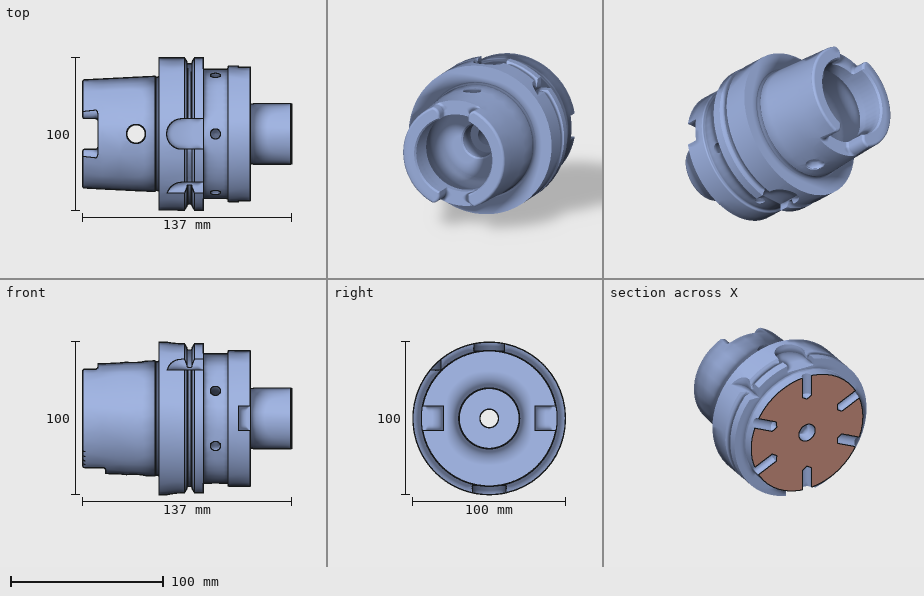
import cadquery as cq
import math


SHANK_END = -50.0
FLANGE_END = 29.0
COLLAR_START = 45.2
SEAT_X = 60.0
PILOT_END = 87.0

TAPER_LARGE_R = 75.65 / 2
TAPER_SLOPE = 0.05
FLANGE_R = 100.0 / 2
BODY_R = 85.0 / 2
COLLAR_R = 89.0 / 2
PILOT_R = 40.0 / 2
PILOT_NECK_R = 39.4 / 2
PILOT_NECK_LENGTH = 2.4
PILOT_NECK_RAMP = 1.1
SEAT_CHAMFER = 0.3
BODY_FILLET = 0.4
COLLAR_FILLET = 0.8
PILOT_CHAMFER_LENGTH = 0.8
PILOT_CHAMFER_DEPTH = 0.4

RELIEF_START = -2.7
RELIEF_R = 37.25
RELIEF_FILLET = 1.2
RELIEF_FACE_DEPTH = 0.2
RELIEF_FACE_R = 39.1
RELIEF_RAMP = 0.8

GROOVE_X = 20.0
GROOVE_HALF_WIDTH = 3.3
GROOVE_BOTTOM_R = 46.0
GROOVE_BOTTOM_HALF_WIDTH = 1.65
GROOVE_FLANK_ANGLE = 30.0
GROOVE_FILLET = 0.8

MOUTH_R = 53.0 / 2
MOUTH_CHAMFER_LENGTH = 1.5
MOUTH_CHAMFER_DEPTH = 0.9
MOUTH_END = -30.0
CHAMBER_R = 63.0 / 2
CLAMP_ANGLE = 60.0
CHAMBER_END = -2.8
CHAMBER_FILLET = 6.7
TUBE_BORE_R = 22.5 / 2
TUBE_CHAMFER = 1.0
TUBE_BORE_DEPTH = 15.0
COOLANT_R = 12.0 / 2

DRIVE_SLOT_WIDTH = 20.0
DRIVE_SHELF_Z = 32.3
DRIVE_SHELF_FILLET = 5.0
DRIVE_FLOOR_FILLET = 1.6
DRIVE_TOP_DEPTH = 10.0
DRIVE_BOTTOM_DEPTH = 15.0
SHANK_END_FILLET = 1.6

SLOT_START = 5.0
TOP_SLOT_WIDTH = 20.0
BOTTOM_SLOT_WIDTH = 22.0
SLOT_FLOOR_Z = 44.0
NOTCH_CORNER = 31.6
NOTCH_CUTTER_R = 10.0

ACCESS_X = -15.0
ACCESS_R = 12.0 / 2
ACCESS_MOUTH_STEP = 0.3
ACCESS_MOUTH_DEPTH = 0.6
BALANCE_X = 37.0
BALANCE_R = 6.65 / 2
BALANCE_DEPTH = 15.0
BALANCE_ANGLES = (25.2, 90.0, 154.8, 205.2, 270.0, 334.8)
DRILL_TIP_ANGLE = 118.0

DRIVER_WIDTH = 16.0
DRIVER_DEPTH = 8.0
DRIVER_FLOOR_Y = 30.0

CLEAR = 5.0


def taper_radius(x):
    return TAPER_LARGE_R + TAPER_SLOPE * (x - RELIEF_START)


def arc(wire, center, radius, start_deg, end_deg):
    """Add an arc about center, given the angles of its start and end."""
    def at(deg):
        a = math.radians(deg)
        return (center[0] + radius * math.cos(a), center[1] + radius * math.sin(a))
    return wire.threePointArc(at((start_deg + end_deg) / 2), at(end_deg))


def turned_body():
    relief_top = RELIEF_R + RELIEF_FILLET
    fillet_x = RELIEF_FACE_DEPTH - RELIEF_FILLET
    end_r = taper_radius(SHANK_END + SHANK_END_FILLET)
    pilot_start = SEAT_X + PILOT_NECK_LENGTH

    w = cq.Workplane("XY").moveTo(SHANK_END, 0).lineTo(SHANK_END, end_r - SHANK_END_FILLET)
    w = arc(w, (SHANK_END + SHANK_END_FILLET, end_r - SHANK_END_FILLET), SHANK_END_FILLET, 180, 90)
    w = w.lineTo(RELIEF_START, TAPER_LARGE_R)
    w = w.lineTo(RELIEF_START + RELIEF_RAMP, RELIEF_R).lineTo(fillet_x, RELIEF_R)
    w = arc(w, (fillet_x, relief_top), RELIEF_FILLET, 270, 360)
    w = w.lineTo(0, RELIEF_FACE_R).lineTo(0, FLANGE_R).lineTo(FLANGE_END, FLANGE_R)
    w = w.lineTo(FLANGE_END, BODY_R + BODY_FILLET)
    w = arc(w, (FLANGE_END + BODY_FILLET, BODY_R + BODY_FILLET), BODY_FILLET, 180, 270)
    w = w.lineTo(COLLAR_START - COLLAR_FILLET, BODY_R)
    w = arc(w, (COLLAR_START - COLLAR_FILLET, BODY_R + COLLAR_FILLET), COLLAR_FILLET, 270, 360)
    w = w.lineTo(COLLAR_START, COLLAR_R - COLLAR_FILLET)
    w = arc(w, (COLLAR_START + COLLAR_FILLET, COLLAR_R - COLLAR_FILLET), COLLAR_FILLET, 180, 90)
    w = w.lineTo(SEAT_X - SEAT_CHAMFER, COLLAR_R).lineTo(SEAT_X, COLLAR_R - SEAT_CHAMFER)
    w = w.lineTo(SEAT_X, PILOT_NECK_R).lineTo(pilot_start - PILOT_NECK_RAMP, PILOT_NECK_R)
    w = w.lineTo(pilot_start, PILOT_R).lineTo(PILOT_END - PILOT_CHAMFER_LENGTH, PILOT_R)
    w = w.lineTo(PILOT_END, PILOT_R - PILOT_CHAMFER_DEPTH).lineTo(PILOT_END, 0)
    return w.close().revolve(360, (0, 0, 0), (1, 0, 0))


def gripper_groove():
    flank_run = GROOVE_HALF_WIDTH - GROOVE_BOTTOM_HALF_WIDTH
    flank_end_r = FLANGE_R - flank_run / math.tan(math.radians(GROOVE_FLANK_ANGLE))
    left = GROOVE_X - GROOVE_BOTTOM_HALF_WIDTH
    right = GROOVE_X + GROOVE_BOTTOM_HALF_WIDTH
    fillet_r = GROOVE_BOTTOM_R + GROOVE_FILLET

    w = cq.Workplane("XY").moveTo(GROOVE_X - GROOVE_HALF_WIDTH, FLANGE_R + CLEAR)
    w = w.lineTo(GROOVE_X - GROOVE_HALF_WIDTH, FLANGE_R)
    w = w.lineTo(left, flank_end_r).lineTo(left, fillet_r)
    w = arc(w, (left + GROOVE_FILLET, fillet_r), GROOVE_FILLET, 180, 270)
    w = w.lineTo(right - GROOVE_FILLET, GROOVE_BOTTOM_R)
    w = arc(w, (right - GROOVE_FILLET, fillet_r), GROOVE_FILLET, 270, 360)
    w = w.lineTo(right, flank_end_r).lineTo(GROOVE_X + GROOVE_HALF_WIDTH, FLANGE_R)
    w = w.lineTo(GROOVE_X + GROOVE_HALF_WIDTH, FLANGE_R + CLEAR)
    return w.close().revolve(360, (0, 0, 0), (1, 0, 0))


def shank_bore():
    cone_length = (CHAMBER_R - MOUTH_R) / math.tan(math.radians(CLAMP_ANGLE))
    tube_end = CHAMBER_END + TUBE_BORE_DEPTH
    fillet_x = CHAMBER_END - CHAMBER_FILLET
    fillet_r = CHAMBER_R - CHAMBER_FILLET

    w = cq.Workplane("XY").moveTo(SHANK_END, 0).lineTo(SHANK_END, MOUTH_R + MOUTH_CHAMFER_DEPTH)
    w = w.lineTo(SHANK_END + MOUTH_CHAMFER_LENGTH, MOUTH_R).lineTo(MOUTH_END, MOUTH_R)
    w = w.lineTo(MOUTH_END + cone_length, CHAMBER_R).lineTo(fillet_x, CHAMBER_R)
    w = arc(w, (fillet_x, fillet_r), CHAMBER_FILLET, 90, 0)
    w = w.lineTo(CHAMBER_END, TUBE_BORE_R + TUBE_CHAMFER)
    w = w.lineTo(CHAMBER_END + TUBE_CHAMFER, TUBE_BORE_R).lineTo(tube_end, TUBE_BORE_R)
    w = w.lineTo(tube_end, COOLANT_R).lineTo(PILOT_END, COOLANT_R).lineTo(PILOT_END, 0)
    return w.close().revolve(360, (0, 0, 0), (1, 0, 0))


def drive_slot(depth):
    """Slot on the +Z side whose walls curve outward into a flat shelf."""
    half = DRIVE_SLOT_WIDTH / 2
    fillet_y = half + DRIVE_SHELF_FILLET
    fillet_z = DRIVE_SHELF_Z - DRIVE_SHELF_FILLET
    side = FLANGE_R + 2 * CLEAR

    w = cq.Workplane("YZ", origin=(SHANK_END - CLEAR, 0, 0)).moveTo(-half, 0).lineTo(half, 0)
    w = w.lineTo(half, fillet_z)
    w = arc(w, (fillet_y, fillet_z), DRIVE_SHELF_FILLET, 180, 90)
    w = w.lineTo(side, DRIVE_SHELF_Z).lineTo(side, side).lineTo(-side, side)
    w = w.lineTo(-side, DRIVE_SHELF_Z).lineTo(-fillet_y, DRIVE_SHELF_Z)
    w = arc(w, (-fillet_y, fillet_z), DRIVE_SHELF_FILLET, 90, 0)
    slot = w.close().extrude(depth + CLEAR)
    return slot.faces(">X").edges("not(<Z or >Z or <Y or >Y)").fillet(DRIVE_FLOOR_FILLET)


def drive_envelope():
    """Block around the whole part, with both drive slots and their rounded mouths."""
    side = 2 * (FLANGE_R + CLEAR)
    length = PILOT_END - SHANK_END
    block = cq.Workplane("XY").box(length, side, side).translate((SHANK_END + length / 2, 0, 0))
    block = block.cut(drive_slot(DRIVE_TOP_DEPTH)).cut(flip(drive_slot(DRIVE_BOTTOM_DEPTH)))
    return block.faces("<X").edges("not(<Z or >Z or <Y or >Y)").fillet(SHANK_END_FILLET)


def flange_slot(width):
    """Flat-floored slot on the +Z side with a round end."""
    radius = width / 2
    w = cq.Workplane("XY", origin=(0, 0, SLOT_FLOOR_Z)).moveTo(FLANGE_END, -radius)
    w = w.lineTo(FLANGE_END, radius)
    w = w.lineTo(SLOT_START + radius, radius)
    w = arc(w, (SLOT_START + radius, 0), radius, 90, 270)
    return w.close().extrude(FLANGE_R)


def orientation_notch():
    """Square corner notch on the -Y, +Z side, with a round end."""
    x = SLOT_START + NOTCH_CUTTER_R
    y = -NOTCH_CORNER - NOTCH_CUTTER_R
    w = cq.Workplane("XY", origin=(0, 0, NOTCH_CORNER)).moveTo(FLANGE_END, -NOTCH_CORNER)
    w = w.lineTo(x, -NOTCH_CORNER)
    w = arc(w, (x, y), NOTCH_CUTTER_R, 90, 180)
    w = w.lineTo(SLOT_START, -FLANGE_R - CLEAR).lineTo(FLANGE_END, -FLANGE_R - CLEAR)
    return w.close().extrude(FLANGE_R)


def access_hole():
    """Radial hole on the +Z side with a slightly wider mouth."""
    surface_r = taper_radius(ACCESS_X)
    hole = cq.Workplane("XY", origin=(ACCESS_X, 0, 0)).circle(ACCESS_R).extrude(FLANGE_R)
    mouth = cq.Workplane("XY", origin=(ACCESS_X, 0, surface_r - ACCESS_MOUTH_DEPTH))
    return hole.union(mouth.circle(ACCESS_R + ACCESS_MOUTH_STEP).extrude(CLEAR))


def balance_hole(angle):
    """Blind drilled hole, turned about X from the +Y direction."""
    tip = BALANCE_R / math.tan(math.radians(DRILL_TIP_ANGLE / 2))
    bottom = BODY_R - BALANCE_DEPTH
    points = [(0, bottom - tip), (BALANCE_R, bottom), (BALANCE_R, BODY_R + CLEAR), (0, BODY_R + CLEAR)]
    drill = cq.Workplane("XY").polyline(points).close().revolve(360, (0, 0, 0), (0, 1, 0))
    return drill.translate((BALANCE_X, 0, 0)).rotate((0, 0, 0), (1, 0, 0), angle)


def driver_slot(side):
    """Slot in the cutter seat, on the side of the given sign of Y."""
    length = COLLAR_R + CLEAR - DRIVER_FLOOR_Y
    box = cq.Workplane("XY").box(DRIVER_DEPTH, length, DRIVER_WIDTH)
    return box.translate((SEAT_X - DRIVER_DEPTH / 2, side * (DRIVER_FLOOR_Y + length / 2), 0))


def flip(tool):
    """Turn a +Z side tool to the -Z side."""
    return tool.rotate((0, 0, 0), (1, 0, 0), 180)


result = turned_body().cut(gripper_groove()).intersect(drive_envelope())
result = result.cut(shank_bore())
result = result.cut(flange_slot(TOP_SLOT_WIDTH)).cut(flip(flange_slot(BOTTOM_SLOT_WIDTH)))
result = result.cut(orientation_notch())
result = result.cut(access_hole()).cut(flip(access_hole()))
for angle in BALANCE_ANGLES:
    result = result.cut(balance_hole(angle))
for side in (-1, 1):
    result = result.cut(driver_slot(side))